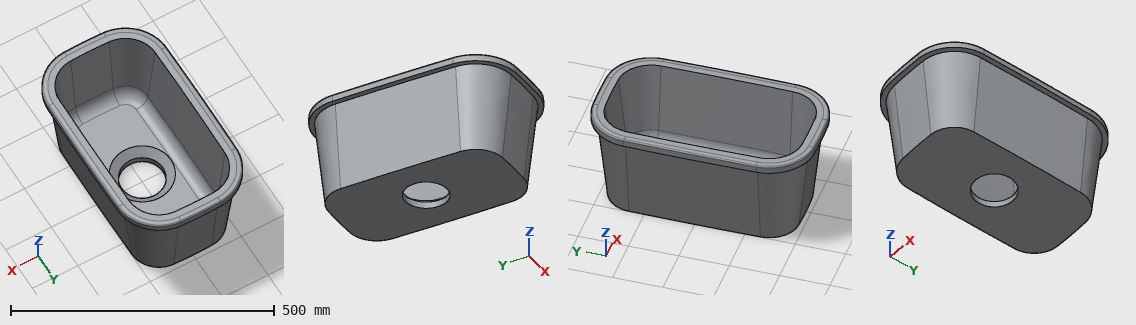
import cadquery as cq
import math

width = 262.0
length = 442.0
height = 196.5

corner_radius = 90.5
corner_x = 39.5
corner_y = 129.5

rim_height = 16.0
rim_overhang = 11.0
rim_edge_width = 11.0
rim_edge_drop = 1.0
rim_fillet = 2.5
wall_thickness = 15.5
floor_thickness = 28.7
floor_fillet = 26.5
bottom_inset = 31.0

drain_diameter = 90.5
drain_mouth_diameter = 125.5
drain_cone_depth = 14.5

body_height = height - rim_height
wall_slope = (bottom_inset - rim_overhang) / body_height


def outer_inset(z):
    """Distance from the rim outline in to the outside of the wall at height z."""
    return bottom_inset - wall_slope * z


def side_angle(apex_distance, radius, half_span):
    """Turn from mid-side to corner for a bowed side tangent to the corner arcs."""
    bow_radius = (apex_distance**2 + half_span**2 - radius**2) / (2 * (apex_distance - radius))
    return math.asin(half_span / (bow_radius - radius))


def outline(inset, z):
    """Closed wire parallel to the rim outline, moved inward by inset."""
    half_width = width / 2 - inset
    half_length = length / 2 - inset
    radius = corner_radius - inset
    side_turn = side_angle(half_width - corner_x, radius, corner_y)
    end_turn = side_angle(half_length - corner_y, radius, corner_x)

    def corner_point(angle):
        return corner_x + radius * math.cos(angle), corner_y + radius * math.sin(angle)

    sx, sy = corner_point(side_turn)
    mx, my = corner_point(math.pi / 4)
    ex, ey = corner_point(math.pi / 2 - end_turn)
    return (
        cq.Workplane("XY", origin=(0, 0, z))
        .moveTo(sx, -sy)
        .threePointArc((half_width, 0), (sx, sy))
        .threePointArc((mx, my), (ex, ey))
        .threePointArc((0, half_length), (-ex, ey))
        .threePointArc((-mx, my), (-sx, sy))
        .threePointArc((-half_width, 0), (-sx, -sy))
        .threePointArc((-mx, -my), (-ex, -ey))
        .threePointArc((0, -half_length), (ex, -ey))
        .threePointArc((mx, -my), (sx, -sy))
        .close()
    )


def tapered_solid(low_inset, low_z, high_inset, high_z):
    wires = [outline(low_inset, low_z).val(), outline(high_inset, high_z).val()]
    return cq.Workplane(cq.Solid.makeLoft(wires, True))


def make_rim():
    """Overhanging rim whose top slopes gently to a rounded outer edge."""
    rim = outline(0, body_height).extrude(rim_height)
    rim = rim.faces(">Z").chamfer(rim_edge_drop, rim_edge_width)
    edge_z = height - rim_edge_drop
    search_margin = rim_edge_drop / 4
    outer_edge = cq.selectors.BoxSelector(
        (-width, -length, edge_z - search_margin),
        (width, length, edge_z + search_margin),
    )
    return rim.edges(outer_edge).fillet(rim_fillet)


def make_cavity():
    """Bowl parallel to the tapered walls, rounded around the floor."""
    low_inset = outer_inset(floor_thickness) + wall_thickness
    high_inset = outer_inset(height) + wall_thickness
    cavity = tapered_solid(low_inset, floor_thickness, high_inset, height)
    return cavity.faces("<Z").edges().fillet(floor_fillet)


def make_drain():
    """Round hole through the floor with a conical mouth."""
    hole = cq.Workplane("XY").circle(drain_diameter / 2).extrude(floor_thickness)
    cone_base = cq.Vector(0, 0, floor_thickness - drain_cone_depth)
    mouth = cq.Solid.makeCone(
        drain_diameter / 2, drain_mouth_diameter / 2, drain_cone_depth, cone_base
    )
    return hole.union(cq.Workplane(mouth))


body = tapered_solid(bottom_inset, 0, rim_overhang, body_height)
result = body.union(make_rim()).cut(make_cavity()).cut(make_drain())